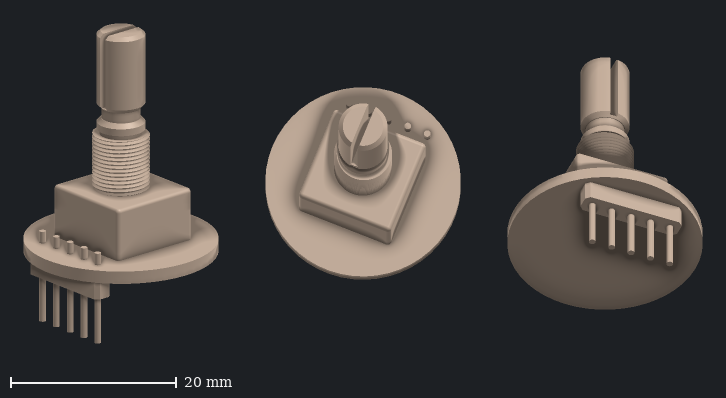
import cadquery as cq
import math

header_bottom = 6.03
board_bottom = 8.5
board_top = 10.07
pin_top = 11.55
housing_top = 16.7
bushing_top = 23.6
collar_bottom = 24.2
collar_chamfer_start = 25.1
neck_bottom = 25.65
neck_top = 26.97
slot_bottom = 27.25
grip_bottom = 27.53
shaft_top = 36.75

board_diameter = 23.6

pin_diameter = 0.8
pin_count = 5
pin_pitch = 2.55
pin_row_y = -8.12
header_length = 12.65
header_width = 2.5
header_chamfer = 0.5

housing_length = 11.98
housing_width = 11.87
housing_offset_y = 0.25
housing_fillet = 0.5

bushing_radius = 6.35 / 2
thread_radius = 7.02 / 2
thread_turns = 13.8
thread_pitch = (bushing_top - housing_top) / thread_turns
thread_root_width = 0.45
thread_first_crest = 0.1

stub_radius = 5.22 / 2
grip_radius = 5.9 / 2
neck_radius = 4.7 / 2
chamfer_radius = 4.9 / 2
shaft_chamfer = 0.45
slot_width = 0.95


def make_pins():
    """Row of separate round pins along X."""
    return (
        cq.Workplane("XY", origin=(0, pin_row_y, 0))
        .rarray(pin_pitch, 0.35, pin_count, 1)
        .circle(pin_diameter / 2)
        .extrude(pin_top, combine=False)
    )


def make_board():
    """Round circuit board."""
    return (
        cq.Workplane("XY", origin=(0, 0, board_bottom))
        .circle(board_diameter / 2)
        .extrude(board_top - board_bottom)
    )


def make_header():
    """Block with chamfered corners below the board."""
    return (
        cq.Workplane("XY", origin=(0, pin_row_y, header_bottom))
        .rect(header_length, header_width)
        .extrude(board_bottom - header_bottom)
        .edges("|Z")
        .chamfer(header_chamfer)
    )


def make_housing():
    """Box on the board, rounded on every edge except those at the board."""
    return (
        cq.Workplane("XY", origin=(0, housing_offset_y, board_top))
        .rect(housing_length, housing_width)
        .extrude(housing_top - board_top)
        .edges("|Z or >Z")
        .fillet(housing_fillet)
    )


def make_thread():
    """Right-handed V ridge wound on the bushing and cut flush with both of its ends."""
    turns = math.ceil(thread_turns) + 2
    start = housing_top + thread_first_crest - thread_pitch

    def helix(radius, rise):
        wire = cq.Wire.makeHelix(thread_pitch, turns * thread_pitch, radius)
        return wire.translate(cq.Vector(0, 0, start + rise))

    lower_root = helix(bushing_radius, -thread_root_width / 2)
    upper_root = helix(bushing_radius, thread_root_width / 2)
    crest = helix(thread_radius, 0)
    sides = [
        cq.Face.makeRuledSurface(lower_root, crest),
        cq.Face.makeRuledSurface(crest, upper_root),
        cq.Face.makeRuledSurface(upper_root, lower_root),
    ]
    ends = []
    for place in (0, 1):
        corners = [wire.positionAt(place) for wire in (lower_root, crest, upper_root)]
        ends.append(cq.Face.makeFromWires(cq.Wire.makePolygon(corners, close=True)))
    faces = [face for side in sides for face in side.Faces()] + ends
    ridge = cq.Workplane(cq.Solid.makeSolid(cq.Shell.makeShell(faces)).fix())
    bushing_length = (
        cq.Workplane("XY", origin=(0, 0, housing_top))
        .circle(2 * thread_radius)
        .extrude(bushing_top - housing_top)
    )
    return ridge.intersect(bushing_length)


def make_bushing():
    """Cylindrical core with its thread, as one piece."""
    core = (
        cq.Workplane("XY", origin=(0, 0, housing_top))
        .circle(bushing_radius)
        .extrude(bushing_top - housing_top)
    )
    return core.union(make_thread())


def make_shaft():
    """Turned shaft with a collar, a neck and a slotted grip."""
    profile = [
        (0, bushing_top),
        (stub_radius, bushing_top),
        (stub_radius, collar_bottom),
        (grip_radius, collar_bottom),
        (grip_radius, collar_chamfer_start),
        (chamfer_radius, neck_bottom),
        (neck_radius, neck_bottom),
        (neck_radius, neck_top),
        (chamfer_radius, neck_top),
        (grip_radius, grip_bottom),
        (grip_radius, shaft_top - shaft_chamfer),
        (chamfer_radius, shaft_top),
        (0, shaft_top),
    ]
    turned = cq.Workplane("XZ").polyline(profile).close().revolve(360, (0, 0), (0, 1))
    slot = (
        cq.Workplane("XY", origin=(0, 0, slot_bottom))
        .rect(slot_width, 2 * grip_radius)
        .extrude(shaft_top - slot_bottom)
    )
    return turned.cut(slot)


def make_encoder_module(pins):
    """Board, header, housing, bushing and shaft as one piece, with a through hole for each pin."""
    return (
        make_board()
        .union(make_header())
        .union(make_housing())
        .union(make_bushing())
        .union(make_shaft())
        .cut(cq.Workplane(cq.Compound.makeCompound(pins.vals())))
    )


pins = make_pins()
encoder_module = make_encoder_module(pins)

result = cq.Compound.makeCompound([*encoder_module.vals(), *pins.solids().vals()])